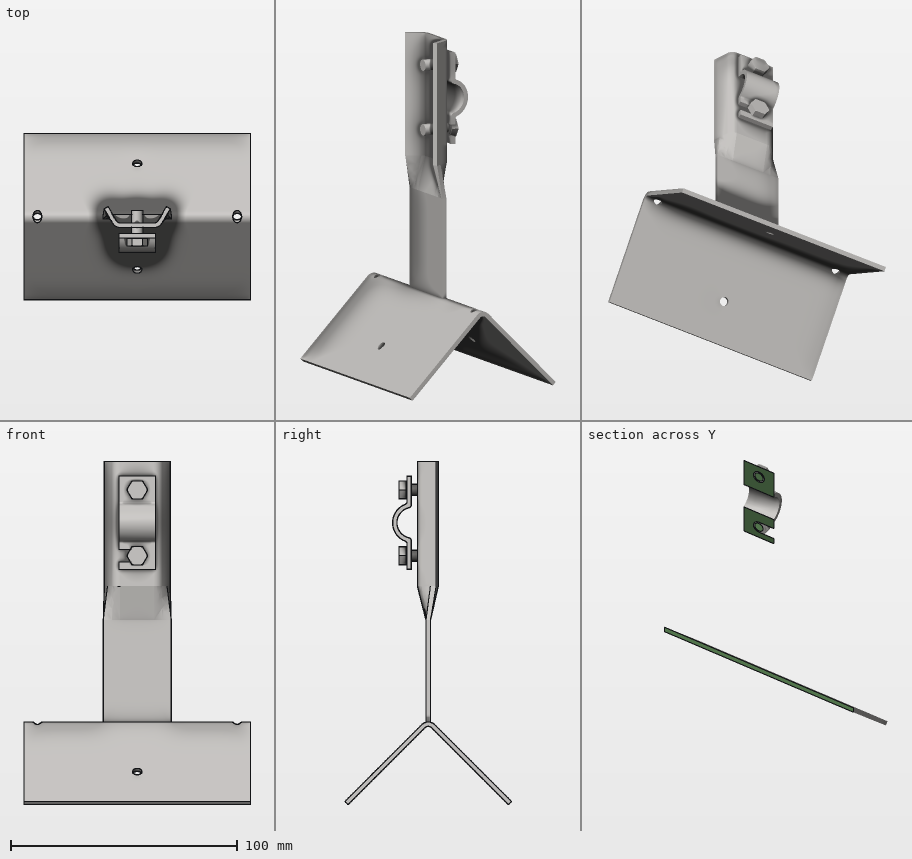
import cadquery as cq
import math

sheet = 2.0
overall_height = 151.2

ridge_length = 100.0
ridge_span = 73.42
ridge_radius = 4.0
neutral_depth = sheet / 3
hole_diameter = 4.0
ridge_hole_x = 44.0
leg_hole_y = 23.5

strap_width = 30.0
channel_length = 55.0
transition_length = 15.0
channel_flat = 15.0
channel_front = -4.8
channel_bend = 4.0
flange_angle = 60.0
flange_length = 7.2
corner_reach = 4.3

clamp_width = 16.0
clamp_length = 41.0
clamp_gap = 2.6
clamp_mid = 27.0
arch_radius = 6.75
arch_offset = 0.4
foot_bend = 1.0
mouth_rounding = 1.5
bolt_spacing = 29.0
bolt_diameter = 5.0
neck_diameter = 4.57
neck_length = 1.8
bolt_length = 12.0
bolt_clearance = 5.5
head_height = 3.5
head_flats = 8.0
head_crown = 8.8
crown_angle = 30.0
washer_face = 6.7
washer_face_height = 0.3

slope = math.sqrt(0.5)
sharp_to_crest = ridge_radius * (math.sqrt(2) - 1)
crest_z = ridge_span / 2 + sheet * slope - sharp_to_crest
sharp_z = crest_z + sharp_to_crest
bend_axis_z = crest_z - ridge_radius
channel_z = overall_height - channel_length
strap_top_z = channel_z - transition_length
clamp_z = overall_height - clamp_mid
clamp_back = channel_front - clamp_gap
clamp_front = clamp_back - sheet
arch_axis_y = clamp_back + arch_offset
bolt_heights = [clamp_z + side * bolt_spacing / 2 for side in (-1, 1)]


def rod_along_y(diameter, y_start, y_end, z):
    """Round rod on the middle plane, parallel to Y."""
    rod = cq.Solid.makeCylinder(
        diameter / 2, y_end - y_start, cq.Vector(0, y_start, z), cq.Vector(0, 1, 0)
    )
    return cq.Workplane(obj=rod)


def make_bent_hole():
    """Hole punched in the flat sheet and bent with it, so its ends point at the bend axis."""
    neutral_radius = ridge_radius - sheet + neutral_depth
    spread = math.tan(hole_diameter / 2 / neutral_radius)
    low = sheet / 4
    high = ridge_radius + sheet

    def oval(height):
        return lambda turn: (
            hole_diameter / 2 * math.cos(2 * math.pi * turn),
            height * spread * math.sin(2 * math.pi * turn),
        )

    return (
        cq.Workplane("XY", origin=(0, 0, low))
        .parametricCurve(oval(low))
        .workplane(offset=high - low)
        .parametricCurve(oval(high))
        .loft(ruled=True)
    )


def make_ridge_plate():
    inner_radius = ridge_radius - sheet
    tip_y = ridge_span / 2
    tip_z = sharp_z - tip_y
    step = sheet * slope
    outer_y = ridge_radius * slope
    inner_y = inner_radius * slope
    plate = (
        cq.Workplane("YZ")
        .moveTo(-tip_y, tip_z)
        .lineTo(-outer_y, bend_axis_z + outer_y)
        .threePointArc((0, crest_z), (outer_y, bend_axis_z + outer_y))
        .lineTo(tip_y, tip_z)
        .lineTo(tip_y - step, tip_z - step)
        .lineTo(inner_y, bend_axis_z + inner_y)
        .threePointArc((0, crest_z - sheet), (-inner_y, bend_axis_z + inner_y))
        .lineTo(step - tip_y, tip_z - step)
        .close()
        .extrude(ridge_length / 2, both=True)
    )
    for side in (-1, 1):
        crest_hole = make_bent_hole().translate((side * ridge_hole_x, 0, bend_axis_z))
        leg_normal = cq.Vector(0, side, 1).normalized()
        leg_point = cq.Vector(0, side * leg_hole_y, sharp_z - leg_hole_y)
        leg_hole = cq.Solid.makeCylinder(
            hole_diameter / 2, 4 * sheet, leg_point - leg_normal * 2 * sheet, leg_normal
        )
        plate = plate.cut(crest_hole).cut(cq.Workplane(obj=leg_hole))
    return plate


def channel_outline(z):
    """Channel section: web in front, two flanges folded back."""
    angle = math.radians(flange_angle)
    bend_y = channel_front + channel_bend

    def bend_point(side, radius, turn):
        return (side * (channel_flat / 2 + radius * math.sin(turn)), bend_y - radius * math.cos(turn))

    def flange_point(side, radius, distance):
        x, y = bend_point(side, radius, angle)
        return (x + side * distance * math.cos(angle), y + distance * math.sin(angle))

    inner = channel_bend - sheet
    outer = channel_bend
    return (
        cq.Workplane("XY", origin=(0, 0, z))
        .moveTo(*bend_point(-1, outer, 0))
        .lineTo(*bend_point(1, outer, 0))
        .threePointArc(bend_point(1, outer, angle / 2), bend_point(1, outer, angle))
        .lineTo(*flange_point(1, outer, corner_reach))
        .lineTo(*flange_point(1, outer, flange_length))
        .lineTo(*flange_point(1, inner, flange_length))
        .lineTo(*bend_point(1, inner, angle))
        .threePointArc(bend_point(1, inner, angle / 2), bend_point(1, inner, 0))
        .lineTo(*bend_point(-1, inner, 0))
        .threePointArc(bend_point(-1, inner, angle / 2), bend_point(-1, inner, angle))
        .lineTo(*flange_point(-1, inner, flange_length))
        .lineTo(*flange_point(-1, outer, flange_length))
        .lineTo(*flange_point(-1, outer, corner_reach))
        .lineTo(*bend_point(-1, outer, angle))
        .threePointArc(bend_point(-1, outer, angle / 2), bend_point(-1, outer, 0))
        .close()
    )


def strap_outline(z):
    """Flat strap section, divided at the places where the channel has its bends."""
    edge = strap_width / 2
    web = channel_flat / 2
    bend = web + channel_bend * math.sin(math.radians(flange_angle))
    flange_end = edge - sheet / 2
    front = -sheet / 2
    back = sheet / 2
    right = [(x, front) for x in (web, bend, edge)]
    right += [(x, back) for x in (edge, flange_end, bend, web)]
    left = [(-x, y) for x, y in reversed(right)]
    first, *rest = left[-1:] + right + left[:-1]
    outline = cq.Workplane("XY", origin=(0, 0, z)).moveTo(*first)
    for point in rest:
        outline = outline.lineTo(*point)
    return outline.close()


def make_post():
    channel = channel_outline(channel_z).extrude(channel_length)
    transition = cq.Workplane(obj=cq.Solid.makeLoft(
        [strap_outline(strap_top_z).val(), channel_outline(channel_z).val()], True
    ))
    strap = cq.Workplane("XY").box(
        strap_width, sheet, strap_top_z - bend_axis_z, centered=(True, True, False)
    ).translate((0, 0, bend_axis_z))
    crest = cq.Workplane("YZ").center(0, bend_axis_z).circle(ridge_radius).extrude(strap_width, both=True)
    post = strap.cut(crest).union(transition).union(channel)
    for z in bolt_heights:
        post = post.cut(rod_along_y(bolt_diameter, channel_front, channel_front + sheet, z))
    return post


def edges_across(y, reach):
    """Selects the pair of X-wise edges at this y, the same reach above and below the arch axis."""
    margin = sheet / 20
    return cq.selectors.BoxSelector(
        (-clamp_width, y - margin, clamp_z - reach - margin),
        (clamp_width, y + margin, clamp_z + reach + margin),
    )


def make_clamp():
    outer_radius = arch_radius + sheet
    feet = cq.Workplane("XY").box(clamp_width, sheet, clamp_length).translate(
        (0, clamp_back - sheet / 2, clamp_z)
    )
    arch = cq.Workplane("YZ").center(arch_axis_y, clamp_z)
    body = feet.union(arch.circle(outer_radius).extrude(clamp_width / 2, both=True))
    behind = cq.Workplane("XY").box(clamp_width, 2 * outer_radius, clamp_length).translate(
        (0, clamp_back + outer_radius, clamp_z)
    )
    body = body.cut(behind)
    root_z = math.sqrt(outer_radius ** 2 - (sheet + arch_offset) ** 2)
    body = body.edges(edges_across(clamp_front, root_z)).fillet(foot_bend)
    body = body.cut(arch.circle(arch_radius).extrude(clamp_width / 2, both=True))
    mouth_z = math.sqrt(arch_radius ** 2 - arch_offset ** 2)
    body = body.edges(edges_across(clamp_back, mouth_z)).fillet(mouth_rounding)
    for z in bolt_heights:
        body = body.cut(rod_along_y(bolt_clearance, clamp_front, clamp_back, z))
    slot = cq.Workplane("XY").box(clamp_width / 2, sheet, bolt_clearance).translate(
        (-clamp_width / 4, clamp_back - sheet / 2, bolt_heights[0])
    )
    return body.cut(slot)


def make_bolt(z):
    corner_radius = head_flats / math.sqrt(3)
    seat_y = clamp_front - washer_face_height
    thread_start = clamp_front + neck_length
    end_y = clamp_front - head_height
    head = (
        cq.Workplane("XZ", origin=(0, seat_y, z))
        .polygon(6, 2 * corner_radius)
        .extrude(seat_y - end_y)
    )
    crown_drop = (corner_radius - head_crown / 2) * math.tan(math.radians(crown_angle))
    crown = (
        cq.Workplane("XY", origin=(0, 0, z))
        .moveTo(0, seat_y)
        .lineTo(corner_radius, seat_y)
        .lineTo(corner_radius, end_y + crown_drop)
        .lineTo(head_crown / 2, end_y)
        .lineTo(0, end_y)
        .close()
        .revolve(360, (0, 0, 0), (0, 1, 0))
    )
    seat = rod_along_y(washer_face, seat_y, clamp_front, z)
    neck = rod_along_y(neck_diameter, clamp_front, thread_start, z)
    thread = rod_along_y(bolt_diameter, thread_start, clamp_front + bolt_length, z)
    return head.intersect(crown).union(seat).union(neck).union(thread)


ridge_plate = make_ridge_plate()
post = make_post()
clamp = make_clamp()
bolts = [make_bolt(z) for z in bolt_heights]

result = cq.Compound.makeCompound(
    [ridge_plate.val(), post.val(), clamp.val(), *[bolt.val() for bolt in bolts]]
)